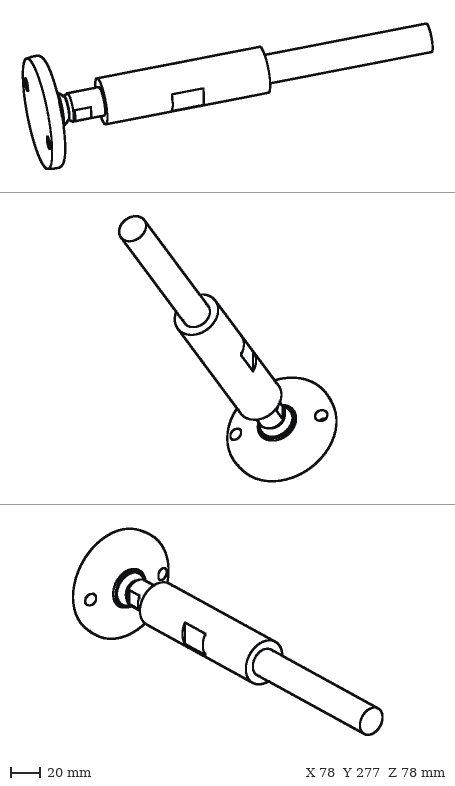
import cadquery as cq
import math

total_length = 277.0

rod_radius = 20.0 / 2
neck_radius = 8.3
neck_chamfer_bottom = 20.5
neck_chamfer_top = 23.0
ball_radius = 13.3
ball_center_y = 9.7
ball_flat_y = 5.5
rod_flats_bottom = 24.0
rod_flats_top = 35.5
rod_flats_width = 17.0

sleeve_radius = 32.0 / 2
sleeve_bottom = 45.2
sleeve_top = 160.5
sleeve_flats_bottom = 91.5
sleeve_flats_top = 113.5
sleeve_flats_width = 27.7

foot_radius = 78.0 / 2
base_radius = 38.5
base_band_top = 4.0
rim_top = 9.5
rim_fillet = 2.8
cone_top = 13.5
collar_base_radius = 14.0
collar_top_radius = 13.3
collar_top = 15.2
hole_diameter = 8.5
hole_offset = 28.8
hole_lean = 14.0
cone_angle = math.degrees(math.atan2(cone_top - rim_top, foot_radius - collar_base_radius))


def ball_radius_at(y):
    """Radius of the ball's cross section at height y."""
    return math.sqrt(ball_radius**2 - (y - ball_center_y) ** 2)


def ball_height_at(radius):
    """Upper height at which the ball has the given cross section radius."""
    return ball_center_y + math.sqrt(ball_radius**2 - radius**2)


def turn(profile):
    """Revolve a closed half profile, drawn as (radius, y), about the Y axis."""
    return profile.close().revolve(360, (0, 0, 0), (0, 1, 0))


def cut_flats(body, bottom, top, width):
    """Cut two flats across X, the given width apart, between two heights."""
    size = 2 * sleeve_radius
    for side in (-1, 1):
        cutter = cq.Workplane("XY").box(size, top - bottom, size)
        body = body.cut(cutter.translate((side * (width + size) / 2, (bottom + top) / 2, 0)))
    return body


def make_spindle():
    profile = (
        cq.Workplane("XY")
        .moveTo(0, ball_flat_y)
        .lineTo(ball_radius_at(ball_flat_y), ball_flat_y)
        .threePointArc((ball_radius, ball_center_y), (neck_radius, ball_height_at(neck_radius)))
        .lineTo(neck_radius, neck_chamfer_bottom)
        .lineTo(rod_radius, neck_chamfer_top)
        .lineTo(rod_radius, total_length)
        .lineTo(0, total_length)
    )
    return cut_flats(turn(profile), rod_flats_bottom, rod_flats_top, rod_flats_width)


def make_sleeve():
    tube = (
        cq.Workplane("XZ", origin=(0, sleeve_bottom, 0))
        .circle(sleeve_radius)
        .circle(rod_radius)
        .extrude(sleeve_bottom - sleeve_top)
    )
    return cut_flats(tube, sleeve_flats_bottom, sleeve_flats_top, sleeve_flats_width)


def cut_fixing_holes(foot):
    """Drill the two fixing holes, which lean outward from bottom to top."""
    reach = 2 * cone_top
    lean = math.radians(hole_lean)
    for side in (-1, 1):
        direction = cq.Vector(side * math.sin(lean), math.cos(lean), 0)
        start = cq.Vector(side * hole_offset, 0, 0) - direction * (reach / 2)
        foot = foot.cut(cq.Solid.makeCylinder(hole_diameter / 2, 2 * reach, start, direction))
    return foot


def make_foot():
    """Turned disc with a conical top and a socket that holds the ball."""
    lean = math.radians(cone_angle)
    tangent_length = rim_fillet * math.tan((math.pi / 2 - lean) / 2)
    arc_center_radius = foot_radius - rim_fillet
    arc_start_y = rim_top - tangent_length
    arc_middle = (math.pi / 2 - lean) / 2
    arc_middle_point = (
        arc_center_radius + rim_fillet * math.cos(arc_middle),
        arc_start_y + rim_fillet * math.sin(arc_middle),
    )
    arc_end_point = (
        foot_radius - tangent_length * math.cos(lean),
        rim_top + tangent_length * math.sin(lean),
    )
    profile = (
        cq.Workplane("XY")
        .lineTo(base_radius, 0)
        .lineTo(foot_radius, base_band_top)
        .lineTo(foot_radius, arc_start_y)
        .threePointArc(arc_middle_point, arc_end_point)
        .lineTo(collar_base_radius, cone_top)
        .lineTo(collar_top_radius, collar_top)
        .lineTo(ball_radius_at(collar_top), collar_top)
        .threePointArc((ball_radius, ball_center_y), (ball_radius_at(ball_flat_y), ball_flat_y))
        .lineTo(0, ball_flat_y)
    )
    return cut_fixing_holes(turn(profile))


spindle = make_spindle()
sleeve = make_sleeve()
foot = make_foot()

result = cq.Compound.makeCompound([spindle.val(), sleeve.val(), foot.val()])